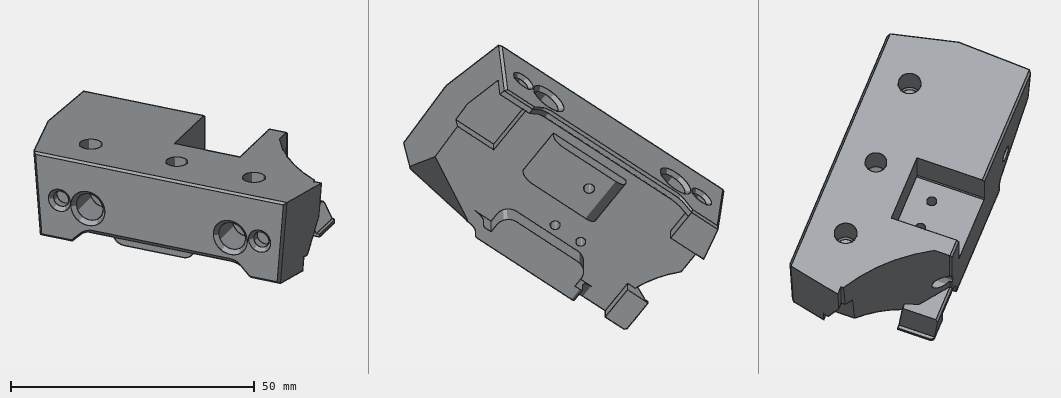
import cadquery as cq
import math

TOP = 20.3
BASE = 4.75
WALL_FOOT = 1.5
DEPTH = 30.6
LENGTH = 63.1
OVERLAP = 0.6
EDGE = 0.475
CLEAR = 37.85

FRONT_END_SLOPE = math.tan(math.radians(13))
BACK_END_SLOPE = 0.047
FRONT_DRAFT = math.tan(math.radians(4.5))
BACK_DRAFT = math.tan(math.radians(10))
LEFT_RIDGE_Y = 14.3
RIGHT_RIDGE_Y = 11.75

WALL_THICKNESS = 1.65
RELIEF_TOP = 7.25
RELIEF_BACK = 14.1
ARCH_LEFT = 11.9
ARCH_RIGHT = 52.3
ARCH_TOP = 4.3
ARCH_RISE = 1.9
ARCH_BEVEL = 0.8
ARCH_RUN = 4.5

UNDERCUT_TOP = 12.6
UNDERCUT_FOOT_Y = 7.75
UNDERCUT_X = 59.65

BEVEL_X = 3.15
BEVEL_END_X = 17.7
BEVEL_TOP = 11.5
BEVEL_FRONT = 22.45
BEVEL_SIZE = 63.1

SCALLOP_X = 46.65
SCALLOP_LIMIT_X = 69.4
SCALLOP_TOP_START_Y = 30.05
SCALLOP_TOP_ARC = [(SCALLOP_X, 26.7), (52.5, 18.95), (61.3, 12.3)]
SCALLOP_BASE_START_Y = 30.1
SCALLOP_BASE_ARC = [(53.4, 25.55), (56.1, 18.8), (60.9, 12.95)]
RAIL_FRONT = 22.8
RAIL_TOP = 6.3
RAIL_X = 54.8
RAIL_TIP_X = 56.8
RAIL_TIP_Z = 2.5
RAIL_BOTTOM = 1.9
RAIL_END_X = 57.55

POCKET_LEFT = 27.95
POCKET_RIGHT = 42.8
POCKET_FRONT = 15.8
POCKET_FLOOR = 12.2
POCKET_EDGE = 0.25
POCKET_HOLES = [(32.4, 20.7), (38.9, 20.7)]
POCKET_HOLE_DIAMETER = 2.0

TOP_HOLE_Y = 8.25
DOWEL_X = [12.5, 49.4]
DOWEL_DIAMETER = 4.7
DOWEL_TIP_DIAMETER = 3.9
DOWEL_DEPTH = 6.3
CENTRE_X = 31.95
CENTRE_DIAMETER = 4.4
CENTRE_BORE_DIAMETER = 2.2
CENTRE_DEPTH = 6.3

BOLT_X = [15.65, 47.9]
BOLT_Z = 9.9
BOLT_MOUTH_DIAMETER = 7.7
BOLT_HEAD_DIAMETER = 6.0
BOLT_MOUTH_DEPTH = 0.9
BOLT_HEAD_DEPTH = 7.6
BOLT_DIAMETER = 3.4
PIN_X = [9.2, 54.5]
PIN_Z = 10.5
PIN_MOUTH_DIAMETER = 5.0
PIN_DIAMETER = 3.4
PIN_MOUTH_DEPTH = 0.8
PIN_DEPTH = 2.5

SLAB_LEFT = 19.55
SLAB_RIGHT = 38.0
SLAB_FRONT = 3.7
SLAB_BACK = 14.25
SLAB_BOTTOM = 1.15
SLAB_RADIUS = 2.5

FOOT_LEFT = 19.3
FOOT_RIGHT = 44.5
FOOT_FLARE = 2.2
FOOT_EDGE = 0.6
FOOT_FRONT = 27.7
PAD_LEFT = 21.2
PAD_RIGHT = 42.55
PAD_RADIUS = 2.9


def block_at(width, depth, height, x, y, z):
    """Box whose lowest corner is at x, y, z."""
    return cq.Workplane("XY").box(width, depth, height, centered=False).translate((x, y, z))


def plan_outline(z):
    """Corners of the drafted block at height z."""
    drop = TOP - z
    front_inset = drop * FRONT_DRAFT
    back_inset = drop * BACK_DRAFT
    ridge_shift = (back_inset - front_inset) / (FRONT_END_SLOPE + BACK_END_SLOPE)
    left_ridge_y = LEFT_RIDGE_Y - ridge_shift
    left_ridge_x = front_inset + ridge_shift * FRONT_END_SLOPE
    right_ridge_x = LENGTH - front_inset
    return [
        (left_ridge_x + left_ridge_y * FRONT_END_SLOPE, 0),
        (right_ridge_x - RIGHT_RIDGE_Y * FRONT_END_SLOPE, 0),
        (right_ridge_x, RIGHT_RIDGE_Y),
        (right_ridge_x, DEPTH),
        (left_ridge_x + (DEPTH - left_ridge_y) * BACK_END_SLOPE, DEPTH),
        (left_ridge_x, left_ridge_y),
    ]


def drafted_block():
    return (
        cq.Workplane("XY", origin=(0, 0, WALL_FOOT)).polyline(plan_outline(WALL_FOOT)).close()
        .workplane(offset=TOP - WALL_FOOT).polyline(plan_outline(TOP)).close()
        .loft(ruled=True)
        .faces("<Y or >Y").edges().chamfer(EDGE)
    )


def underside_tools():
    """Space under the block, the left relief and the right end undercut."""
    wall_step = BASE - WALL_FOOT
    under_left = block_at(ARCH_RIGHT, CLEAR, wall_step, 0, WALL_THICKNESS, WALL_FOOT)
    under_right = block_at(CLEAR, CLEAR, wall_step, ARCH_RIGHT, UNDERCUT_FOOT_Y, WALL_FOOT)
    relief = block_at(
        ARCH_LEFT, RELIEF_BACK - WALL_THICKNESS, RELIEF_TOP - WALL_FOOT, 0, WALL_THICKNESS, WALL_FOOT
    )
    undercut = (
        cq.Workplane("YZ", origin=(UNDERCUT_X, 0, 0))
        .polyline([
            (RIGHT_RIDGE_Y, UNDERCUT_TOP),
            (UNDERCUT_FOOT_Y, WALL_FOOT),
            (CLEAR, WALL_FOOT),
            (CLEAR, UNDERCUT_TOP),
        ])
        .close().extrude(CLEAR)
    )
    return [under_left, under_right, relief, undercut]


def arch_outline(y, lift):
    """Closed arch outline in the plane at y, raised and widened by lift."""
    crown = ARCH_TOP + lift
    widening = lift / 2
    shoulder_z = WALL_FOOT + ARCH_RISE + widening
    return (
        cq.Workplane("XZ", origin=(0, y, 0))
        .moveTo(ARCH_LEFT - widening, WALL_FOOT)
        .lineTo(ARCH_LEFT + ARCH_RISE, shoulder_z)
        .tangentArcPoint((ARCH_LEFT + ARCH_RUN, crown), relative=False)
        .lineTo(ARCH_RIGHT - ARCH_RUN, crown)
        .tangentArcPoint((ARCH_RIGHT - ARCH_RISE, shoulder_z), relative=False)
        .lineTo(ARCH_RIGHT + widening, WALL_FOOT)
        .close()
    )


def arch_tools():
    """Opening in the lower edge of the front wall and its bevelled mouth."""
    opening = arch_outline(0, 0).extrude(-UNDERCUT_FOOT_Y)
    mouth_wires = [arch_outline(0, ARCH_BEVEL).val(), arch_outline(EDGE, 0).val()]
    mouth = cq.Workplane(cq.Solid.makeLoft(mouth_wires, True))
    return [opening, mouth]


def rear_left_bevel():
    """Everything outside the slanted plane across the lower rear left corner."""
    on_back = cq.Vector(BEVEL_X, DEPTH, BEVEL_TOP)
    on_left = cq.Vector(BEVEL_X, BEVEL_FRONT, BASE)
    on_base = cq.Vector(BEVEL_END_X, DEPTH, BASE)
    normal = (on_left - on_back).cross(on_back - on_base)
    plane = cq.Plane(on_back, on_left - on_back, normal)
    return cq.Workplane(plane).rect(BEVEL_SIZE, BEVEL_SIZE).extrude(CLEAR)


def scallop_outline(plane, start_y, arc):
    """Outline of the scallop: a straight lead-in, an arc and a step back to the right end."""
    start, middle, end = arc
    return (
        plane.moveTo(SCALLOP_X, CLEAR).lineTo(SCALLOP_X, start_y).lineTo(*start)
        .threePointArc(middle, end)
        .lineTo(end[0], RIGHT_RIDGE_Y)
        .lineTo(SCALLOP_LIMIT_X, RIGHT_RIDGE_Y)
        .lineTo(SCALLOP_LIMIT_X, CLEAR)
        .close()
    )


def scallop_tool():
    """Tapered cut that narrows from the top face down to the underside."""
    base_plane = cq.Workplane("XY", origin=(0, 0, BASE))
    base = scallop_outline(base_plane, SCALLOP_BASE_START_Y, SCALLOP_BASE_ARC)
    top_plane = base.workplane(offset=TOP - BASE)
    return scallop_outline(top_plane, SCALLOP_TOP_START_Y, SCALLOP_TOP_ARC).loft(ruled=True)


def rear_rail():
    """Low rail along the back of the scalloped corner, with a hanging, sloped end."""
    return (
        cq.Workplane("XZ", origin=(0, DEPTH, 0))
        .polyline([
            (SCALLOP_X, BASE),
            (ARCH_RIGHT, BASE),
            (ARCH_RIGHT, RAIL_BOTTOM),
            (RAIL_END_X, RAIL_BOTTOM),
            (RAIL_END_X, RAIL_TIP_Z),
            (RAIL_TIP_X, RAIL_TIP_Z),
            (RAIL_X, RAIL_TOP),
            (SCALLOP_X, RAIL_TOP),
        ])
        .close().extrude(DEPTH - RAIL_FRONT)
        .faces(">Y").edges("(>Z or >X) and (not <Z)").chamfer(EDGE)
    )


def top_pocket():
    return (
        block_at(
            POCKET_RIGHT - POCKET_LEFT, CLEAR, TOP - POCKET_FLOOR,
            POCKET_LEFT, POCKET_FRONT, POCKET_FLOOR,
        )
        .edges("|Y and <Z").chamfer(POCKET_EDGE)
    )


def turned(profile):
    """Solid of revolution about Z from (radius, height) points."""
    return cq.Workplane("XZ").polyline(profile).close().revolve(360, (0, 0, 0), (0, 1, 0))


def stepped_bore(mouth, head, bore, mouth_depth, head_depth, tip, length):
    """Bore along -Z: a cone to the head bore, a cone to the through bore, then the bore."""
    return turned([
        (0, 0),
        (mouth / 2, 0),
        (head / 2, -mouth_depth),
        (head / 2, -head_depth),
        (bore / 2, -head_depth - tip),
        (bore / 2, -length),
        (0, -length),
    ])


def to_front(tool, x, z):
    """Turn a bore so that it enters the front face."""
    return tool.rotate((0, 0, 0), (1, 0, 0), 90).translate((x, 0, z))


def front_holes():
    bolt = stepped_bore(
        BOLT_MOUTH_DIAMETER, BOLT_HEAD_DIAMETER, BOLT_DIAMETER, BOLT_MOUTH_DEPTH, BOLT_HEAD_DEPTH, 0, CLEAR
    )
    pin = turned([
        (0, 0),
        (PIN_MOUTH_DIAMETER / 2, 0),
        (PIN_DIAMETER / 2, -PIN_MOUTH_DEPTH),
        (PIN_DIAMETER / 2, -PIN_DEPTH),
        (0, -PIN_DEPTH),
    ])
    return [to_front(bolt, x, BOLT_Z) for x in BOLT_X] + [to_front(pin, x, PIN_Z) for x in PIN_X]


def top_holes():
    tip = (DOWEL_DIAMETER - DOWEL_TIP_DIAMETER) / 2
    dowel = turned([
        (0, 0),
        (DOWEL_DIAMETER / 2, 0),
        (DOWEL_DIAMETER / 2, -DOWEL_DEPTH),
        (DOWEL_TIP_DIAMETER / 2, -DOWEL_DEPTH - tip),
        (0, -DOWEL_DEPTH - tip),
    ])
    centre_tip = (CENTRE_DIAMETER - CENTRE_BORE_DIAMETER) / 2
    centre = stepped_bore(
        CENTRE_DIAMETER, CENTRE_DIAMETER, CENTRE_BORE_DIAMETER,
        CENTRE_DEPTH / 2, CENTRE_DEPTH, centre_tip, CLEAR,
    )
    tools = [dowel.translate((x, TOP_HOLE_Y, TOP)) for x in DOWEL_X]
    return tools + [centre.translate((CENTRE_X, TOP_HOLE_Y, TOP))]


def pocket_holes():
    return cq.Workplane("XY").pushPoints(POCKET_HOLES).circle(POCKET_HOLE_DIAMETER / 2).extrude(TOP)


def slab():
    return (
        block_at(
            SLAB_RIGHT - SLAB_LEFT, SLAB_BACK - SLAB_FRONT, BASE + OVERLAP - SLAB_BOTTOM,
            SLAB_LEFT, SLAB_FRONT, SLAB_BOTTOM,
        )
        .edges("|Y and <Z").fillet(SLAB_RADIUS)
    )


def rear_foot():
    """Flared plate at the back with a narrower round-cornered pad in front of it."""
    neck_z = BASE - FOOT_FLARE
    plate = (
        cq.Workplane("XZ", origin=(0, DEPTH, 0))
        .moveTo(FOOT_LEFT, 0).lineTo(FOOT_RIGHT, 0).lineTo(FOOT_RIGHT, neck_z)
        .tangentArcPoint((FOOT_RIGHT + FOOT_FLARE, BASE), relative=False)
        .lineTo(FOOT_RIGHT + FOOT_FLARE, BASE + OVERLAP).lineTo(FOOT_LEFT - FOOT_FLARE, BASE + OVERLAP)
        .lineTo(FOOT_LEFT - FOOT_FLARE, BASE)
        .radiusArc((FOOT_LEFT, neck_z), FOOT_FLARE)
        .close().extrude(DEPTH - FOOT_FRONT)
        .edges("|Y and <Z").fillet(FOOT_EDGE)
    )
    pad = (
        block_at(PAD_RIGHT - PAD_LEFT, DEPTH - RAIL_FRONT, BASE + OVERLAP, PAD_LEFT, RAIL_FRONT, 0)
        .edges("|Z and <Y").fillet(PAD_RADIUS)
    )
    return plate.union(pad)


def cut_all(body, tools):
    for tool in tools:
        body = body.cut(tool)
    return body


body = cut_all(drafted_block(), underside_tools() + arch_tools())
body = cut_all(body, [rear_left_bevel(), scallop_tool(), top_pocket()])
for addition in (rear_rail(), slab(), rear_foot()):
    body = body.union(addition)
result = cut_all(body, front_holes() + top_holes() + [pocket_holes()])